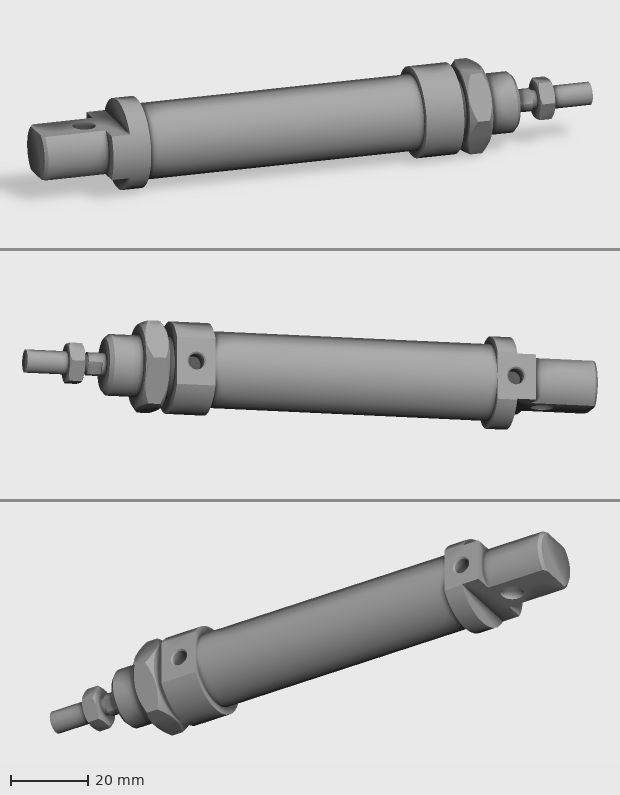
import cadquery as cq
import math

TOTAL_LENGTH = 151.0

tube_diameter = 20.0
cap_diameter = 24.0
cap_length = 10.3
rear_cap_start = 17.2
front_cap_end = 113.0
front_cap_start = front_cap_end - cap_length
rear_cap_end = rear_cap_start + cap_length
cap_flat_offset = 10.3

thread_diameter = 16.0
nose_end = 130.0
nose_chamfer = 1.0
tongue_thickness = 12.0
tongue_chamfer = 0.8
step_position = 22.2
pivot_diameter = 6.0
pivot_position = 13.1

port_diameter = 4.2
port_mouth_diameter = 5.0
port_mouth_depth = (port_mouth_diameter - port_diameter) / 2
port_depth = 4.5
port_inset = 5.3

rod_diameter = 6.0
rod_start = front_cap_start
shoulder_end = 134.7
neck_diameter = 5.0
neck_length = 1.4
wrench_flat_distance = 5.0
wrench_flat_length = 3.6
rod_twist = 3.5
wrench_flat_angle = 30 + rod_twist

mount_nut_across_corners = 25.4
mount_nut_thickness = 6.3
mount_nut_start = 114.9
mount_nut_chamfer_diameter = 21.6
mount_nut_chamfer_angle = 40.0
rod_nut_across_flats = 10.0
rod_nut_across_corners = rod_nut_across_flats / math.cos(math.radians(30))
rod_nut_thickness = 4.1
rod_nut_start = shoulder_end + neck_length
rod_nut_chamfer_diameter = 10.0
rod_nut_chamfer_angle = 30.0


def cylinder(diameter, start, end):
    """Solid cylinder on the Y axis between two Y positions."""
    return cq.Workplane("XZ", origin=(0, start, 0)).circle(diameter / 2).extrude(start - end)


def block(width, start, end, height):
    """Box centred on the Y axis between two Y positions."""
    return cq.Workplane("XY").box(width, end - start, height).translate((0, (start + end) / 2, 0))


def make_cap(start):
    """End cap with one flat on its -X side."""
    end = start + cap_length
    keep = block(cap_diameter, start, end, cap_diameter)
    return cylinder(cap_diameter, start, end).intersect(
        keep.translate((cap_diameter / 2 - cap_flat_offset, 0, 0))
    )


def make_port(position):
    """Blind port cutter with a countersunk mouth, entering from the cap flat."""
    profile = [
        (-cap_flat_offset, 0),
        (-cap_flat_offset, port_mouth_diameter / 2),
        (-cap_flat_offset + port_mouth_depth, port_diameter / 2),
        (-cap_flat_offset + port_depth, port_diameter / 2),
        (-cap_flat_offset + port_depth, 0),
    ]
    cutter = cq.Workplane("XY").polyline(profile).close().revolve(360, (0, 0), (1, 0))
    return cutter.translate((0, position, 0))


def make_housing():
    """Tube, end caps, threaded nose and rear pivot tongue, with a bore for the rod."""
    tongue = cylinder(thread_diameter, 0, rear_cap_start).faces("<Y").chamfer(tongue_chamfer)
    rear = tongue.union(make_cap(rear_cap_start))
    for side in (1, -1):
        relief = block(cap_diameter, 0, step_position, cap_diameter)
        rear = rear.cut(relief.translate((0, 0, side * (tongue_thickness + cap_diameter) / 2)))
    pivot_hole = cq.Workplane("XY").center(0, pivot_position).circle(pivot_diameter / 2)
    rear = rear.cut(pivot_hole.extrude(tongue_thickness, both=True))

    tube = cylinder(tube_diameter, rear_cap_end, front_cap_start)
    nose = cylinder(thread_diameter, front_cap_end, nose_end).faces(">Y").chamfer(nose_chamfer)
    body = rear.union(tube).union(make_cap(front_cap_start)).union(nose)

    for port_position in (rear_cap_start + port_inset, front_cap_end - port_inset):
        body = body.cut(make_port(port_position))
    return body.cut(cylinder(rod_diameter, rod_start, nose_end))


def make_rod():
    """Piston rod with a thread relief neck and two wrench flats behind it."""
    shaft = cylinder(rod_diameter, rod_start, shoulder_end)
    for side in (1, -1):
        cutter = block(rod_diameter, shoulder_end - wrench_flat_length, shoulder_end, rod_diameter)
        shift = side * (wrench_flat_distance + rod_diameter) / 2
        cutter = cutter.translate((shift, 0, 0))
        shaft = shaft.cut(cutter.rotate((0, 0, 0), (0, 1, 0), -wrench_flat_angle))
    neck = cylinder(neck_diameter, shoulder_end, rod_nut_start)
    thread = cylinder(rod_diameter, rod_nut_start, TOTAL_LENGTH)
    return shaft.union(neck).union(thread)


def make_nut(across_corners, thickness, bore, chamfer_diameter, chamfer_angle, start):
    """Hexagon nut with corners on X and turned chamfers on both faces."""
    hexagon = cq.Workplane("XZ").polygon(6, across_corners).extrude(-thickness)
    corner = across_corners / 2
    rim = chamfer_diameter / 2
    drop = (corner - rim) * math.tan(math.radians(chamfer_angle))
    profile = [
        (0, 0),
        (rim, 0),
        (corner, drop),
        (corner, thickness - drop),
        (rim, thickness),
        (0, thickness),
    ]
    turned = cq.Workplane("XY").polyline(profile).close().revolve(360, (0, 0), (0, 1))
    nut = hexagon.intersect(turned).cut(cylinder(bore, 0, thickness))
    return nut.translate((0, start, 0))


housing = make_housing()
piston_rod = make_rod()
mount_nut = make_nut(
    mount_nut_across_corners,
    mount_nut_thickness,
    thread_diameter,
    mount_nut_chamfer_diameter,
    mount_nut_chamfer_angle,
    mount_nut_start,
)
rod_nut = make_nut(
    rod_nut_across_corners,
    rod_nut_thickness,
    rod_diameter,
    rod_nut_chamfer_diameter,
    rod_nut_chamfer_angle,
    rod_nut_start,
).rotate((0, 0, 0), (0, 1, 0), -rod_twist)

result = cq.Compound.makeCompound([housing.val(), mount_nut.val(), piston_rod.val(), rod_nut.val()])